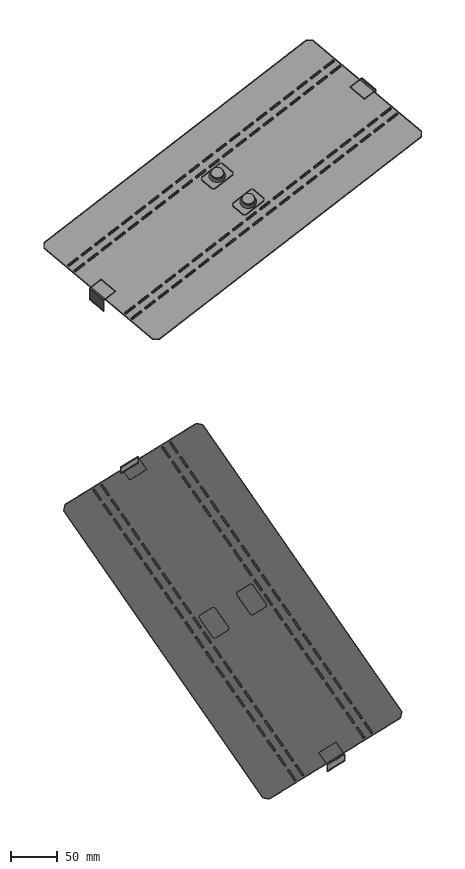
import cadquery as cq

plate_width = 178.0
plate_length = 399.0
plate_thickness = 1.0
plate_corner_chamfer = 5.0

dash_width = 2.0
dash_length = 14.0
dash_pitch = 20.0
dashes_per_row = 20
dash_proud = 0.2
inner_row_x = 39.0
row_spacing = 10.0

clip_width = 22.0
clip_thickness = 0.9
clip_flange_length = 17.5
clip_leg_length = 20.0
clip_span = 404.5

base_width = 20.5
base_length = 31.0
base_thickness = 1.2
base_corner_radius = 3.0
base_x = 24.0

skirt_bottom_radius = 8.8
skirt_top_radius = 7.6
skirt_height = 2.4
neck_radius = 6.85
neck_height = 3.6
cap_radius = 7.0

overall_height = 26.13
plate_top = plate_thickness
base_top = plate_top + base_thickness
clip_top = plate_top + clip_thickness
clip_bottom = clip_top - clip_leg_length
knob_height = clip_bottom + overall_height - base_top

sides = (-1, 1)


def make_plate():
    """Sheet with chamfered corners and two rows of dashes on each side."""
    sheet = (
        cq.Workplane("XY")
        .rect(plate_width, plate_length)
        .extrude(plate_thickness)
        .edges("|Z")
        .chamfer(plate_corner_chamfer)
    )
    dash_height = plate_thickness + 2 * dash_proud
    for side in sides:
        for row_x in (inner_row_x, inner_row_x + row_spacing):
            dashes = (
                cq.Workplane("XY", origin=(side * row_x, 0, -dash_proud))
                .rarray(1, dash_pitch, 1, dashes_per_row)
                .rect(dash_width, dash_length)
                .extrude(dash_height)
            )
            sheet = sheet.union(dashes)
    return sheet


def make_clip(side):
    """L-shaped strip; its leg stands clear of the plate's end."""
    outer_y = side * clip_span / 2
    leg_inner_y = outer_y - side * clip_thickness
    flange_end_y = outer_y - side * clip_flange_length
    return (
        cq.Workplane("YZ")
        .moveTo(flange_end_y, plate_top)
        .lineTo(flange_end_y, clip_top)
        .lineTo(outer_y, clip_top)
        .lineTo(outer_y, clip_bottom)
        .lineTo(leg_inner_y, clip_bottom)
        .lineTo(leg_inner_y, plate_top)
        .close()
        .extrude(clip_width / 2, both=True)
    )


def make_base(side):
    return (
        cq.Workplane("XY", origin=(side * base_x, 0, plate_top))
        .rect(base_width, base_length)
        .extrude(base_thickness)
        .edges("|Z")
        .fillet(base_corner_radius)
    )


def make_knob(side):
    """Solid of revolution standing on the centre of its base."""
    return (
        cq.Workplane("XZ", origin=(side * base_x, 0, base_top))
        .moveTo(0, 0)
        .lineTo(skirt_bottom_radius, 0)
        .lineTo(skirt_top_radius, skirt_height)
        .lineTo(neck_radius, neck_height)
        .lineTo(cap_radius, knob_height)
        .lineTo(0, knob_height)
        .close()
        .revolve(360, (0, 0, 0), (0, 1, 0))
    )


plate = make_plate()
clips = [make_clip(side) for side in sides]
bases = [make_base(side) for side in sides]
knobs = [make_knob(side) for side in sides]

bodies = [plate, *clips, *bases, *knobs]
result = cq.Compound.makeCompound([body.val() for body in bodies])